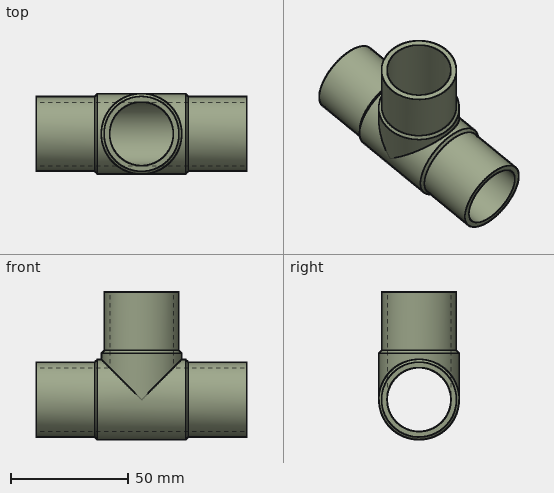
import cadquery as cq

bore_diameter = 27.2
spigot_diameter = 32.0
body_diameter = 34.4
spigot_length = 25.0
run_length = 90.0
branch_height = 46.0

run_half_length = run_length / 2
run_body_half_length = run_half_length - spigot_length
branch_body_height = branch_height - spigot_length
shoulder_chamfer = (body_diameter - spigot_diameter) / 2


def run_cylinder(diameter, half_length):
    """Cylinder along X, centred on the origin."""
    end_plane = cq.Workplane("YZ").workplane(offset=-half_length)
    return end_plane.circle(diameter / 2).extrude(2 * half_length)


def branch_cylinder(diameter, height):
    """Cylinder along Z, rising from the run axis."""
    return cq.Workplane("XY").circle(diameter / 2).extrude(height)


run_body = run_cylinder(body_diameter, run_body_half_length)
run_body = run_body.faces("<X or >X").chamfer(shoulder_chamfer)
branch_body = branch_cylinder(body_diameter, branch_body_height)
branch_body = branch_body.faces(">Z").chamfer(shoulder_chamfer)
body = run_body.union(branch_body)

run_spigots = run_cylinder(spigot_diameter, run_half_length)
branch_spigot = branch_cylinder(spigot_diameter, branch_height)
outside = body.union(run_spigots).union(branch_spigot)

run_bore = run_cylinder(bore_diameter, run_half_length)
branch_bore = branch_cylinder(bore_diameter, branch_height)
result = outside.cut(run_bore).cut(branch_bore)